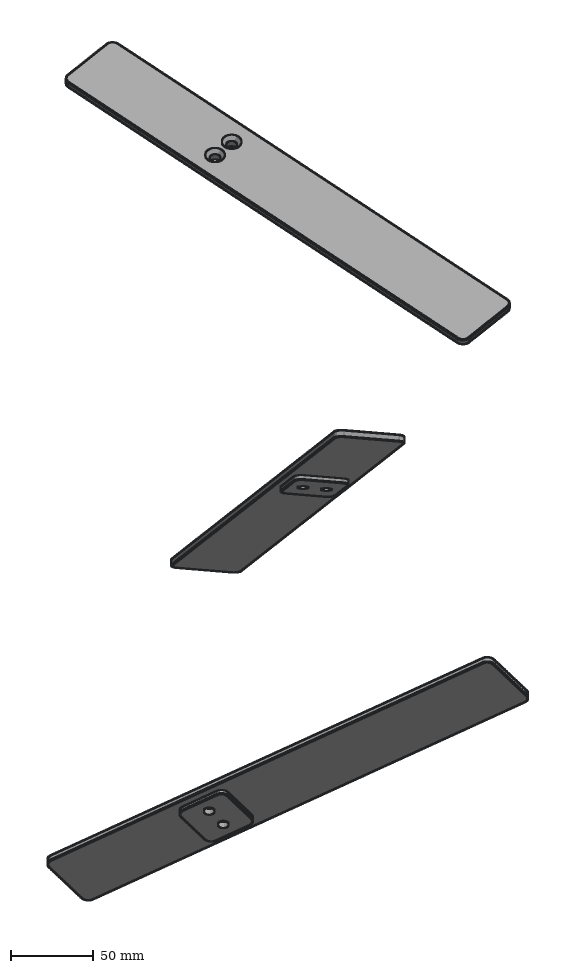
import cadquery as cq

blade_length = 330.0
blade_width = 45.0
blade_thickness = 4.5
corner_radius = 5.0

overall_height = 7.5
pad_side = 35.0
pad_height = overall_height - blade_thickness
pad_start = 94.5
pad_x = -blade_length / 2 + pad_start + pad_side / 2

edge_chamfer = 0.5

hole_diameter = 6.6
countersink_diameter = 12.0
countersink_angle = 90.0
hole_spacing = 15.0


def rounded_slab(length, width, height):
    """Flat block standing on Z = 0 with its four vertical edges rounded."""
    slab = cq.Workplane("XY").box(length, width, height, centered=(True, True, False))
    return slab.edges("|Z").fillet(corner_radius)


def make_pad():
    """Pad standing on Z = 0, chamfered around its free bottom face."""
    pad = rounded_slab(pad_side, pad_side, pad_height)
    return pad.faces("<Z").edges().chamfer(edge_chamfer).translate((pad_x, 0, 0))


def make_blade():
    """Blade resting on the pad, chamfered around its top and bottom faces."""
    blade = rounded_slab(blade_length, blade_width, blade_thickness)
    return blade.faces("<Z or >Z").edges().chamfer(edge_chamfer).translate((0, 0, pad_height))


def cut_screw_holes(body):
    """Through holes countersunk from the top face of the blade."""
    hole_centres = [(pad_x, side * hole_spacing / 2) for side in (-1, 1)]
    top_face = body.copyWorkplane(cq.Workplane("XY", origin=(0, 0, overall_height)))
    return top_face.pushPoints(hole_centres).cskHole(hole_diameter, countersink_diameter, countersink_angle)


result = cut_screw_holes(make_blade().union(make_pad()))